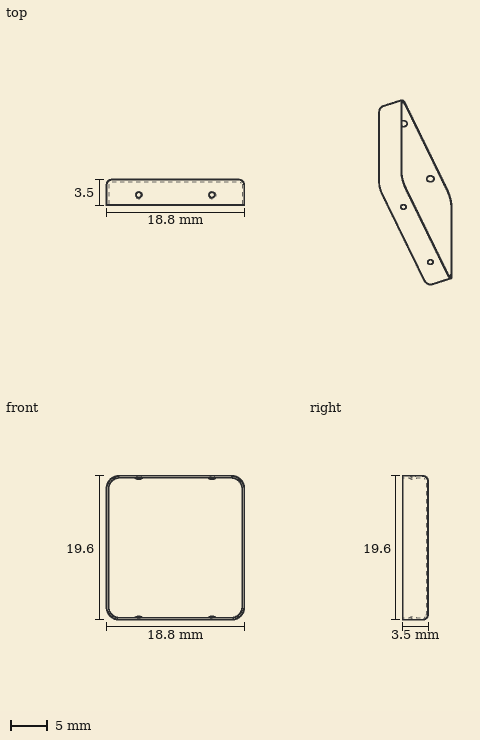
import cadquery as cq

width = 18.8
depth = 3.5
height = 19.65

wall = 0.3
floor_thickness = 0.3
corner_radius = 1.77
outer_edge_radius = 0.79
inner_edge_radius = outer_edge_radius - wall

dimple_diameter = 0.75
dimple_depth = 0.187
dimple_spacing = 9.98
dimple_setback = 1.4
dimple_sphere_radius = ((dimple_diameter / 2) ** 2 + dimple_depth**2) / (2 * dimple_depth)
bump_sphere_radius = dimple_sphere_radius + wall

rim_y = -depth / 2


def rounded_block(size_x, size_y, size_z, vertical_radius, back_radius):
    """Block starting at the rim plane, with rounded corners and a rounded back edge."""
    return (
        cq.Workplane("XY")
        .box(size_x, size_y, size_z)
        .translate((0, rim_y + size_y / 2, 0))
        .edges("|Y")
        .fillet(vertical_radius)
        .faces(">Y")
        .edges()
        .fillet(back_radius)
    )


outer = rounded_block(width, depth, height, corner_radius, outer_edge_radius)
cavity = rounded_block(
    width - 2 * wall,
    depth - floor_thickness,
    height - 2 * wall,
    corner_radius - wall,
    inner_edge_radius,
)

sphere_center_z = height / 2 - dimple_depth + dimple_sphere_radius
sphere_centers = [
    (x_side * dimple_spacing / 2, rim_y + dimple_setback, z_side * sphere_center_z)
    for x_side in (-1, 1)
    for z_side in (-1, 1)
]


def spheres(radius):
    """One sphere at each dimple centre."""
    return cq.Workplane("XY").pushPoints(sphere_centers).sphere(radius)


bumps = spheres(bump_sphere_radius).intersect(outer)
result = outer.cut(cavity).union(bumps).cut(spheres(dimple_sphere_radius))